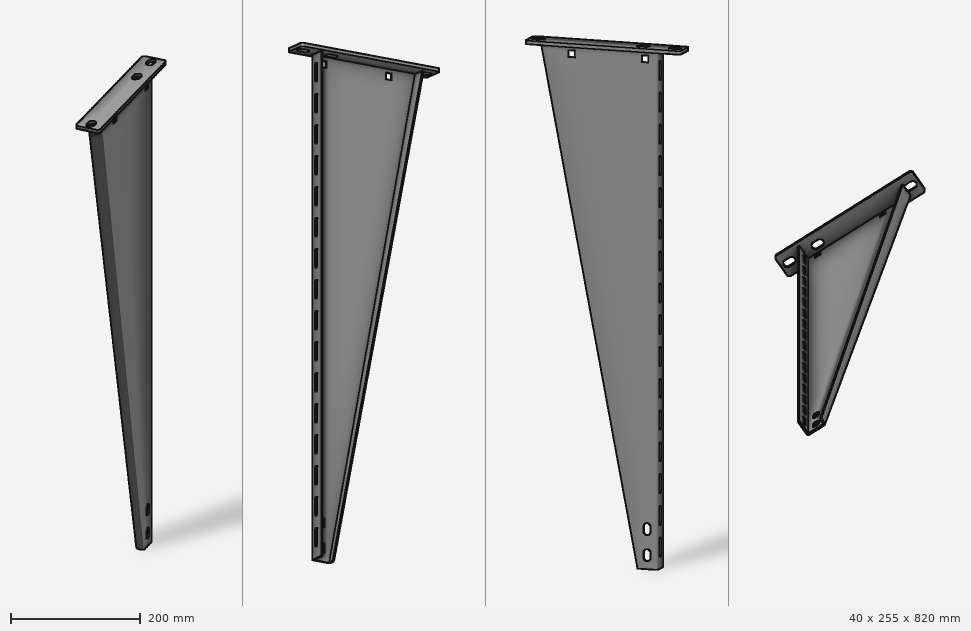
import cadquery as cq
import math

total_height = 820.0
plate_width = 40.0
plate_length = 255.0
plate_thickness = 6.0
plate_corner_radius = 5.0
plate_slot_width = 12.0
plate_slot_length = 20.5
plate_end_slot_offset = 112.0
plate_inner_slot_y = 60.0

arm_height = total_height - plate_thickness
arm_width = 28.0
arm_right_x = 14.0
arm_left_x = arm_right_x - arm_width
sheet_thickness = 3.0
outer_bend_radius = 2.9
arm_back_y = 88.0
arm_front_top_y = -104.0
arm_front_bottom_y = 54.0

front_flange_top_width = 23.0
front_flange_bottom_width = 12.0
flange_corner_radius = 4.0

flange_slot_count = 16
flange_slot_pitch = 50.0
flange_slot_width = 7.0
flange_slot_length = 30.0
flange_slot_x = 1.0
lowest_flange_slot_z = 34.0

square_hole_size = 11.0
square_hole_drop = 11.5
square_hole_ys = (67.0, -53.0)
web_slot_width = 11.5
web_slot_length = 19.0
web_slot_y = 70.5
web_slot_zs = (22.0, 63.0)

UPRIGHT = 90


def make_plate():
    slot_centres = [(0, plate_end_slot_offset), (0, plate_inner_slot_y), (0, -plate_end_slot_offset)]
    return (
        cq.Workplane("XY", origin=(0, 0, arm_height))
        .rect(plate_width, plate_length)
        .extrude(plate_thickness)
        .edges("|Z")
        .fillet(plate_corner_radius)
        .faces(">Z")
        .workplane(origin=(0, 0, total_height))
        .pushPoints(slot_centres)
        .slot2D(plate_slot_length, plate_slot_width, UPRIGHT)
        .cutThruAll()
    )


def tapered_block(inset, right_x):
    """Full-height block inside the arm's side outline, its flange faces moved in by inset."""
    slope = (arm_front_bottom_y - arm_front_top_y) / arm_height
    front_inset = inset * math.hypot(1, slope)
    outline = [
        (arm_back_y - inset, 0),
        (arm_back_y - inset, arm_height),
        (arm_front_top_y + front_inset, arm_height),
        (arm_front_bottom_y + front_inset, 0),
    ]
    side_plane = cq.Workplane("YZ", origin=(arm_left_x, 0, 0))
    return side_plane.polyline(outline).close().extrude(right_x - arm_left_x)


def front_flange_trim():
    """Wedge that removes the front flange beyond its leaning free edge."""
    outline = [
        (arm_left_x, 0),
        (arm_right_x - front_flange_bottom_width, 0),
        (arm_right_x - front_flange_top_width, arm_height),
        (arm_left_x, arm_height),
    ]
    wedge = cq.Workplane("XZ", origin=(0, arm_back_y, 0)).polyline(outline).close()
    wedge = wedge.extrude(arm_back_y - arm_front_top_y)
    back_flange_zone = cq.Workplane("XY").box(arm_width, sheet_thickness, arm_height, centered=False)
    back_flange_zone = back_flange_zone.translate((arm_left_x, arm_back_y - sheet_thickness, 0))
    return wedge.cut(back_flange_zone)


def back_flange_slots():
    centres = [
        (flange_slot_x, lowest_flange_slot_z + i * flange_slot_pitch) for i in range(flange_slot_count)
    ]
    return (
        cq.Workplane("XZ", origin=(0, arm_back_y, 0))
        .pushPoints(centres)
        .slot2D(flange_slot_length, flange_slot_width, UPRIGHT)
        .extrude(sheet_thickness)
    )


def web_openings():
    web_plane = cq.Workplane("YZ", origin=(arm_right_x - sheet_thickness, 0, 0))
    square_centres = [(y, arm_height - square_hole_drop) for y in square_hole_ys]
    squares = web_plane.pushPoints(square_centres).rect(square_hole_size, square_hole_size)
    squares = squares.extrude(sheet_thickness)
    slots = (
        web_plane.pushPoints([(web_slot_y, z) for z in web_slot_zs])
        .slot2D(web_slot_length, web_slot_width, UPRIGHT)
        .extrude(sheet_thickness)
    )
    return squares.union(slots)


def round_flange_corner(channel, x, y):
    """Round the lower free corner of the flange whose outer face meets the ground edge at (x, y)."""
    corner_edge = cq.selectors.NearestToPointSelector((x, y, 0))
    return channel.edges(corner_edge).fillet(flange_corner_radius)


def make_arm():
    outside = tapered_block(0, arm_right_x)
    outside = outside.faces(">X").edges("not |Y").fillet(outer_bend_radius)
    inside = tapered_block(sheet_thickness, arm_right_x - sheet_thickness)
    channel = outside.cut(inside).cut(front_flange_trim())
    channel = round_flange_corner(channel, arm_left_x, arm_back_y - sheet_thickness / 2)
    front_corner_x = arm_right_x - front_flange_bottom_width
    channel = round_flange_corner(channel, front_corner_x, arm_front_bottom_y + sheet_thickness / 2)
    return channel.cut(back_flange_slots()).cut(web_openings())


plate = make_plate()
arm = make_arm()
result = cq.Compound.makeCompound([plate.val(), arm.val()])